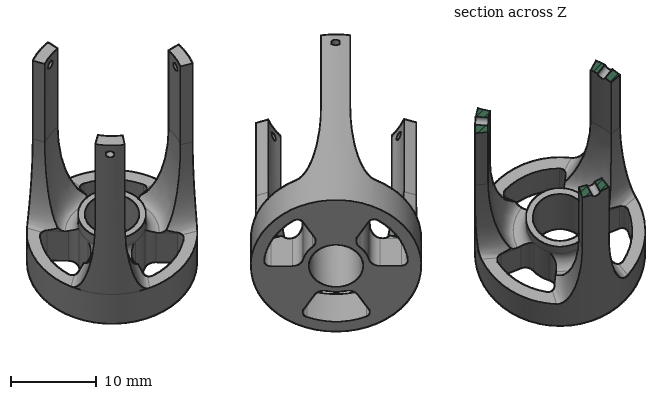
import cadquery as cq
import math

OUTER_RADIUS = 9.96
TOTAL_HEIGHT = 30.48
WALL = 1.524
INNER_RADIUS = OUTER_RADIUS - WALL
BASE_HEIGHT = 5.08

HUB_RADIUS = 3.97
HUB_HEIGHT = 8.13
BORE_RADIUS = 3.175
HUB_FILLET = 1.524

LEG_COUNT = 3
LEG_SPACING = 360 / LEG_COUNT
FIRST_LEG_ANGLE = 90
LEG_HALF_ANGLE = 10
FLARE_TOP = 17.15
FLARE_HEIGHT = FLARE_TOP - BASE_HEIGHT
FLARE_SIDE_WIDTH = 3.0
FLARE_FOOT_RADIUS = HUB_RADIUS + HUB_FILLET

PIN_HOLE_DIAMETER = 1.016
PIN_HOLE_TIP_DISTANCE = 1.524
PIN_HOLE_HEIGHT = TOTAL_HEIGHT - PIN_HOLE_TIP_DISTANCE

SLOT_HALF_ANGLE = 30
SLOT_HEIGHT = BASE_HEIGHT + HUB_FILLET
SLOT_HUB_FILLET = 1.27
SLOT_RIM_FILLET = 0.762


def polar(radius, degrees):
    """Point in the XY plane at a radius and an angle from +X."""
    angle = math.radians(degrees)
    return (radius * math.cos(angle), radius * math.sin(angle))


def rotated(shape, angle):
    """Copy of a shape turned about the Z axis."""
    return shape.rotate((0, 0, 0), (0, 0, 1), angle)


def make_base():
    """Disc with a bored hub, filleted at its foot."""
    fillet_middle = HUB_FILLET * (1 - math.sqrt(0.5))
    return (
        cq.Workplane("XZ")
        .moveTo(BORE_RADIUS, 0)
        .lineTo(OUTER_RADIUS, 0)
        .lineTo(OUTER_RADIUS, BASE_HEIGHT)
        .lineTo(FLARE_FOOT_RADIUS, BASE_HEIGHT)
        .threePointArc(
            (HUB_RADIUS + fillet_middle, BASE_HEIGHT + fillet_middle),
            (HUB_RADIUS, BASE_HEIGHT + HUB_FILLET),
        )
        .lineTo(HUB_RADIUS, HUB_HEIGHT)
        .lineTo(BORE_RADIUS, HUB_HEIGHT)
        .close()
        .revolve(360, (0, 0, 0), (0, 1, 0))
    )


def make_flared_shell():
    """Tube whose inner face curves inward to the hub fillet as a quarter ellipse."""
    return (
        cq.Workplane("XZ")
        .moveTo(OUTER_RADIUS, BASE_HEIGHT)
        .lineTo(OUTER_RADIUS, TOTAL_HEIGHT)
        .lineTo(INNER_RADIUS, TOTAL_HEIGHT)
        .lineTo(INNER_RADIUS, FLARE_TOP)
        .ellipseArc(INNER_RADIUS - FLARE_FOOT_RADIUS, FLARE_HEIGHT, 270, 360, sense=-1)
        .close()
        .revolve(360, (0, 0, 0), (0, 1, 0))
    )


def make_leg_side():
    """Prism bounding one side of a leg along +X: radial above, flaring out to the base."""
    prism = (
        cq.Workplane("YZ")
        .moveTo(-OUTER_RADIUS, BASE_HEIGHT)
        .lineTo(-OUTER_RADIUS, TOTAL_HEIGHT)
        .lineTo(0, TOTAL_HEIGHT)
        .lineTo(0, FLARE_TOP)
        .ellipseArc(FLARE_SIDE_WIDTH, FLARE_HEIGHT, 180, 270, sense=1)
        .close()
        .extrude(OUTER_RADIUS)
    )
    return rotated(prism, LEG_HALF_ANGLE)


def make_leg():
    """One leg along +X, with its radial pin hole."""
    side = make_leg_side()
    pin_hole = (
        cq.Workplane("YZ")
        .center(0, PIN_HOLE_HEIGHT)
        .circle(PIN_HOLE_DIAMETER / 2)
        .extrude(OUTER_RADIUS)
    )
    both_sides = side.intersect(side.mirror("XZ"))
    return both_sides.intersect(make_flared_shell()).cut(pin_hole)


def make_slot():
    """Ring-sector cutter centred on +X with rounded corners."""
    slot = (
        cq.Workplane("XY")
        .moveTo(*polar(HUB_RADIUS, -SLOT_HALF_ANGLE))
        .lineTo(*polar(INNER_RADIUS, -SLOT_HALF_ANGLE))
        .threePointArc((INNER_RADIUS, 0), polar(INNER_RADIUS, SLOT_HALF_ANGLE))
        .lineTo(*polar(HUB_RADIUS, SLOT_HALF_ANGLE))
        .threePointArc((HUB_RADIUS, 0), polar(HUB_RADIUS, -SLOT_HALF_ANGLE))
        .close()
        .extrude(SLOT_HEIGHT)
    )
    middle = (HUB_RADIUS + INNER_RADIUS) / 2 * math.cos(math.radians(SLOT_HALF_ANGLE))
    hub_corners = cq.selectors.BoxSelector(
        (0, -OUTER_RADIUS, 0), (middle, OUTER_RADIUS, SLOT_HEIGHT)
    )
    rim_corners = cq.selectors.BoxSelector(
        (middle, -OUTER_RADIUS, 0), (OUTER_RADIUS, OUTER_RADIUS, SLOT_HEIGHT)
    )
    slot = slot.edges("|Z").edges(hub_corners).fillet(SLOT_HUB_FILLET)
    return slot.edges("|Z").edges(rim_corners).fillet(SLOT_RIM_FILLET)


def make_part():
    """Slotted base with the legs joined to its top."""
    leg = make_leg()
    slot = make_slot()
    for slot_offset in (-LEG_SPACING / 2, LEG_SPACING / 2):
        leg = leg.cut(rotated(slot, slot_offset))

    leg_angles = [FIRST_LEG_ANGLE + i * LEG_SPACING for i in range(LEG_COUNT)]
    body = rotated(make_base(), FIRST_LEG_ANGLE + 180)
    for angle in leg_angles:
        body = body.cut(rotated(slot, angle + LEG_SPACING / 2))
    for angle in leg_angles:
        body = body.union(rotated(leg, angle))
    return body


result = make_part()